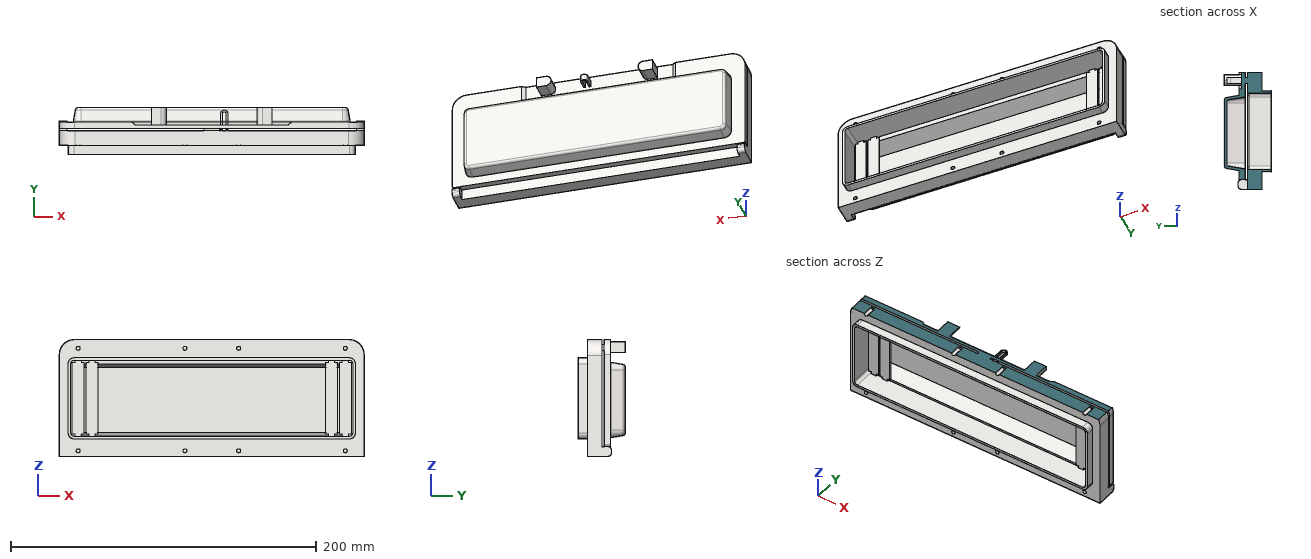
import cadquery as cq
import math

LENGTH = 200.0
HEIGHT = 76.8
HOUSING_CORNER_RADIUS = 10.5

FLANGE_FRONT = 6.0
FLANGE_BACK = 15.8
COVER_FRONT = 17.0
COVER_BACK = 21.5
PAN_RIM_BACK = 22.0
HOOK_BACK = PAN_RIM_BACK
PAN_BACK = 31.0

LIP_LENGTH = 188.5
LIP_BOTTOM = 11.5
LIP_TOP = 64.8
LIP_WALL = 1.7
LIP_CORNER_RADIUS = 4.0
LIP_HEIGHT = LIP_TOP - LIP_BOTTOM
LIP_CENTER_Z = (LIP_TOP + LIP_BOTTOM) / 2

STRIP_WIDTH = 7.8
STRIP_THICKNESS = 1.2
STRIP_END_GAP = 1.5
STRIP_NECK_WIDTH = 4.2
STRIP_CENTERS_X = (78.5, 87.5)

HOLE_DIAMETER = 2.5
HOLE_DEPTH = 8.0
HOLE_COLUMNS_X = (-87.5, -17.5, 17.5, 87.5)
HOLE_ROWS_Z = (3.8, 71.0)

HOOK_WIDTH = 5.2
HOOK_TOP = 6.5
HOOK_RADIUS = 2.5

COVER_CORNER_RADIUS = 10.0
COVER_BOTTOM_RADIUS = 1.2
PAN_LENGTH = 181.5
PAN_BOTTOM = 12.5
PAN_TOP = 61.8
PAN_CORNER_RADIUS = 5.0
PAN_DRAFT = 10.0
PAN_EDGE_RADIUS = 2.0
PAN_WALL = 2.0
PAN_HEIGHT = PAN_TOP - PAN_BOTTOM
PAN_CENTER_Z = (PAN_TOP + PAN_BOTTOM) / 2

RECESS_LENGTH = 105.2
RECESS_DEPTH = 1.8
RECESS_SLOPE_RUN = 2.5
RECESS_BOTTOM = 66.0
RECESS_FLOOR = COVER_BACK - RECESS_DEPTH

POST_WIDTH = 9.8
POST_BOTTOM = 68.2
POST_TOP = 75.5
POST_INNER_X = 29.8
POST_ROUND_RADIUS = 3.5

BOLT_LENGTH = 10.5
BOLT_BOTTOM = 69.5
BOLT_TOP = 73.5
STAPLE_CENTER_X = 8.2
STAPLE_WIDTH = 4.8
STAPLE_WIRE = 1.2
STAPLE_BACK = 29.2


def box(x_min, x_max, y_min, y_max, z_min, z_max):
    return cq.Workplane("XY").box(
        x_max - x_min, y_max - y_min, z_max - z_min, centered=False
    ).translate((x_min, y_min, z_min))


def plane_at(y, z=0.0):
    """Sketch plane at depth y: local x is -X, local y is Z, extrudes toward +Y."""
    return cq.Workplane(cq.Plane(origin=(0, y, z), xDir=(-1, 0, 0), normal=(0, 1, 0)))


def rounded_block(length, height, radius, y_min, y_max, center_z):
    block = plane_at(y_min, center_z).rect(length, height).extrude(y_max - y_min)
    return block.edges("|Y").fillet(radius)


def upright_plate(bottom, y_min, y_max, corner_radius):
    """Full-length plate with large round top corners."""
    plate = box(-LENGTH / 2, LENGTH / 2, y_min, y_max, bottom, HEIGHT)
    return plate.edges("|Y and >Z").fillet(corner_radius)


def hook(x_min):
    arm = box(x_min, x_min + HOOK_WIDTH, FLANGE_FRONT, HOOK_BACK, 0, HOOK_TOP)
    return arm.edges("|X and >Y").fillet(HOOK_RADIUS)


def strip(center_x):
    """Flat bar held at both ends by narrower necks."""
    opening_height = LIP_HEIGHT - 2 * LIP_WALL
    sketch_plane = plane_at(FLANGE_BACK - STRIP_THICKNESS, LIP_CENTER_Z)
    bar = sketch_plane.rect(STRIP_WIDTH, opening_height - 2 * STRIP_END_GAP).extrude(STRIP_THICKNESS)
    necks = sketch_plane.rect(STRIP_NECK_WIDTH, opening_height).extrude(STRIP_THICKNESS)
    return bar.union(necks).translate((center_x, 0, 0))


def housing():
    body = upright_plate(0, FLANGE_FRONT, FLANGE_BACK, HOUSING_CORNER_RADIUS)
    body = body.union(
        rounded_block(LIP_LENGTH, LIP_HEIGHT, LIP_CORNER_RADIUS, 0, FLANGE_BACK, LIP_CENTER_Z)
    )
    body = body.cut(
        rounded_block(
            LIP_LENGTH - 2 * LIP_WALL,
            LIP_HEIGHT - 2 * LIP_WALL,
            LIP_CORNER_RADIUS - LIP_WALL,
            0,
            FLANGE_BACK,
            LIP_CENTER_Z,
        )
    )
    for center_x in STRIP_CENTERS_X:
        body = body.union(strip(center_x)).union(strip(-center_x))
    holes = (
        plane_at(FLANGE_FRONT)
        .pushPoints([(x, z) for x in HOLE_COLUMNS_X for z in HOLE_ROWS_Z])
        .circle(HOLE_DIAMETER / 2)
        .extrude(HOLE_DEPTH)
    )
    body = body.cut(holes)
    return body.union(hook(-LENGTH / 2)).union(hook(LENGTH / 2 - HOOK_WIDTH))


def drafted_block(inset, y_min, y_max):
    """Pan shape between two depths, inset from its outer walls and narrowing toward the back."""
    spread = (PAN_RIM_BACK - y_min) * math.tan(math.radians(PAN_DRAFT)) - inset
    return (
        plane_at(y_min, PAN_CENTER_Z)
        .sketch()
        .rect(PAN_LENGTH + 2 * spread, PAN_HEIGHT + 2 * spread)
        .vertices()
        .fillet(PAN_CORNER_RADIUS + spread)
        .finalize()
        .extrude(y_max - y_min, taper=PAN_DRAFT)
    )


def cover_recess():
    half = RECESS_LENGTH / 2
    floor_half = half - RECESS_SLOPE_RUN
    return (
        cq.Workplane("XY", origin=(0, 0, RECESS_BOTTOM))
        .polyline([
            (-half, COVER_BACK), (-floor_half, RECESS_FLOOR), (floor_half, RECESS_FLOOR), (half, COVER_BACK)
        ])
        .close()
        .extrude(HEIGHT - RECESS_BOTTOM)
    )


def cover():
    plate = upright_plate(HOOK_TOP, COVER_FRONT, COVER_BACK, COVER_CORNER_RADIUS)
    plate = plate.edges("|Y and <Z").fillet(COVER_BOTTOM_RADIUS)
    plate = plate.cut(cover_recess())
    pan = drafted_block(0, PAN_RIM_BACK, PAN_BACK).faces(">Y").edges().fillet(PAN_EDGE_RADIUS)
    rim = rounded_block(PAN_LENGTH, PAN_HEIGHT, PAN_CORNER_RADIUS, COVER_BACK, PAN_RIM_BACK, PAN_CENTER_Z)
    return plate.union(rim).union(pan).cut(drafted_block(PAN_WALL, COVER_FRONT, PAN_BACK - PAN_WALL))


def handle_post():
    post = box(POST_INNER_X, POST_INNER_X + POST_WIDTH, RECESS_FLOOR, PAN_BACK, POST_BOTTOM, POST_TOP)
    return post.edges("|Y and <X").fillet(POST_ROUND_RADIUS)


def latch():
    bolt = box(-BOLT_LENGTH / 2, BOLT_LENGTH / 2, FLANGE_BACK, COVER_FRONT, BOLT_BOTTOM, BOLT_TOP)
    outer_radius = STAPLE_WIDTH / 2
    inner_radius = outer_radius - STAPLE_WIRE

    def round_ended(radius):
        straight_end = STAPLE_BACK - outer_radius
        return (
            cq.Workplane("XY", origin=(STAPLE_CENTER_X, 0, BOLT_BOTTOM))
            .moveTo(-radius, FLANGE_BACK)
            .lineTo(-radius, straight_end)
            .threePointArc((0, straight_end + radius), (radius, straight_end))
            .lineTo(radius, FLANGE_BACK)
            .close()
            .extrude(BOLT_TOP - BOLT_BOTTOM)
        )

    return bolt.union(round_ended(outer_radius).cut(round_ended(inner_radius)))


right_post = handle_post()
left_post = right_post.mirror("YZ")
result = housing().union(cover()).union(latch()).union(right_post).union(left_post)